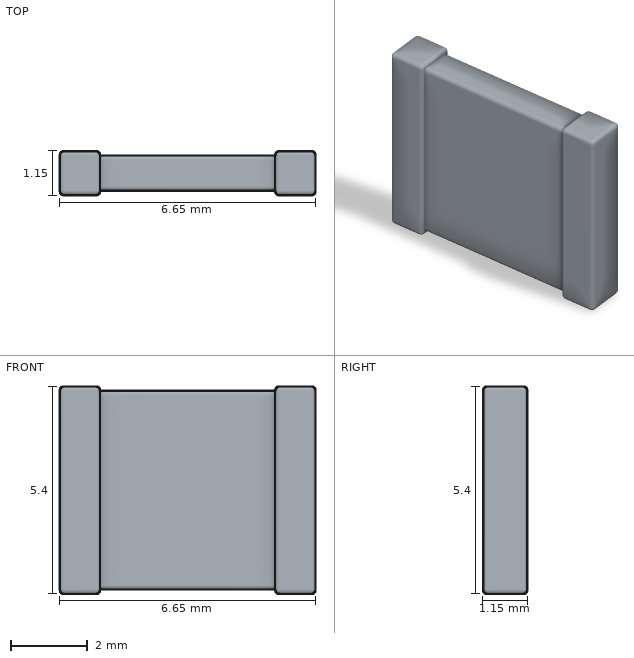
import cadquery as cq

length = 6.65
depth = 1.15
height = 5.4

terminal_width = 1.05
edge_radius = 0.11
core_inset = edge_radius

core_length = length - 2 * terminal_width
core_depth = depth - 2 * core_inset
core_height = height - 2 * core_inset
terminal_offset = (length - terminal_width) / 2


def make_core():
    """Block between the terminals, with its four long edges rounded."""
    block = cq.Workplane("XY").box(core_length, core_depth, core_height)
    return block.edges("|X").fillet(edge_radius)


def make_terminal(center_x):
    """End terminal: a block rounded on every edge, butting against the core."""
    block = cq.Workplane("XY").box(terminal_width, depth, height)
    return block.edges().fillet(edge_radius).translate((center_x, 0, 0))


core = make_core()
terminals = [make_terminal(side * terminal_offset) for side in (-1, 1)]

result = cq.Compound.makeCompound([core.val(), *[terminal.val() for terminal in terminals]])